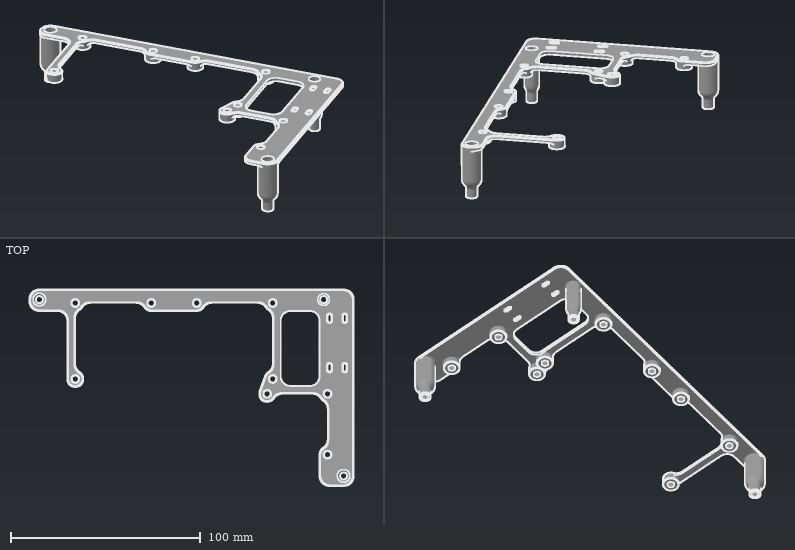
import cadquery as cq
import math

LENGTH = 171.3
WIDTH = 103.8
HEIGHT = 30.0
PLATE_THICKNESS = 2.0
EDGE_CHAMFER = 0.5
BLEND = 5.0

BOSS_RADIUS = 4.3
BOSS_DEPTH = 5.5
SCREW_DIAMETER = 3.6
SCREW_MOUTH = 4.3
X_LEFT, X_MID_LEFT, X_MID_RIGHT, X_STRUT, X_RIGHT = 24.3, 64.4, 88.4, 128.5, 157.5
X_OFFSET_BOSS = 125.5
Y_TOP, Y_ARM_END, Y_CROSS, Y_LOWEST = 96.6, 56.5, 48.6, 16.6
BOSSES = [
    (X_LEFT, Y_TOP),
    (X_MID_LEFT, Y_TOP),
    (X_MID_RIGHT, Y_TOP),
    (X_STRUT, Y_TOP),
    (X_LEFT, Y_ARM_END),
    (X_STRUT, Y_ARM_END),
    (X_OFFSET_BOSS, Y_CROSS),
    (X_RIGHT, Y_CROSS),
    (X_RIGHT, Y_LOWEST),
]

POST_DIAMETER = 10.8
POST_PIN = 6.2
POST_SOCKET = 6.7
POST_BARREL_END = 20.0
POST_PIN_START = 25.0
THIN_POST_DIAMETER = 8.0
THIN_POST_PIN = 5.8
THIN_POST_SOCKET = 6.2
THIN_POST_BARREL_END = 20.5
THIN_POST_PIN_START = 24.5
NECK_INFLECTION = 23.0
BORE_DIAMETER = 3.6
CORNER = POST_DIAMETER / 2
POSTS = [(CORNER, WIDTH - CORNER), (LENGTH - CORNER, CORNER)]
THIN_POST = (155.4, WIDTH - CORNER)

FOOT_FILLET = 1.0
TIP_CHAMFER = 0.3

SLOT_LENGTH = 5.3
SLOT_WIDTH = 2.7
SLOT_CHAMFER = 0.5
SLOTS = [(x, y) for x in (158.5, 166.5) for y in (88.5, 62.5)]


def outline():
    """Plate outline: straight edges run through boss centres and blend into the boss arcs."""
    reach = math.sqrt((BLEND + BOSS_RADIUS) ** 2 - BLEND**2)
    share = BOSS_RADIUS / (BLEND + BOSS_RADIUS)
    along = share * reach
    beside = share * BLEND

    bar_bottom = Y_TOP - BOSS_RADIUS
    arm_left = X_LEFT - BOSS_RADIUS
    pad_left = X_RIGHT - BOSS_RADIUS

    run = X_STRUT - X_OFFSET_BOSS
    rise = Y_ARM_END - Y_CROSS
    span = math.hypot(run, rise)
    shift_x = -BOSS_RADIUS * rise / span
    shift_y = BOSS_RADIUS * run / span

    return (
        cq.Workplane("XY")
        .moveTo(CORNER, WIDTH)
        .lineTo(LENGTH - CORNER, WIDTH)
        .tangentArcPoint((LENGTH, WIDTH - CORNER), relative=False)
        .lineTo(LENGTH, CORNER)
        .tangentArcPoint((LENGTH - CORNER, 0), relative=False)
        .lineTo(pad_left + CORNER, 0)
        .tangentArcPoint((pad_left, CORNER), relative=False)
        .lineTo(pad_left, Y_LOWEST)
        .tangentArcPoint((X_RIGHT - beside, Y_LOWEST + along), relative=False)
        .tangentArcPoint((X_RIGHT, Y_LOWEST + reach), relative=False)
        .lineTo(X_RIGHT, Y_CROSS - reach)
        .tangentArcPoint((X_RIGHT - beside, Y_CROSS - along), relative=False)
        .tangentArcPoint((X_RIGHT - along, Y_CROSS - beside), relative=False)
        .tangentArcPoint((X_RIGHT - reach, Y_CROSS), relative=False)
        .lineTo(X_OFFSET_BOSS + reach, Y_CROSS)
        .tangentArcPoint((X_OFFSET_BOSS + along, Y_CROSS - beside), relative=False)
        .tangentArcPoint((X_OFFSET_BOSS + shift_x, Y_CROSS + shift_y), relative=False)
        .lineTo(X_STRUT + shift_x, Y_ARM_END + shift_y)
        .tangentArcPoint((X_STRUT - beside, Y_ARM_END + along), relative=False)
        .tangentArcPoint((X_STRUT, Y_ARM_END + reach), relative=False)
        .lineTo(X_STRUT, Y_TOP - reach)
        .tangentArcPoint((X_STRUT - beside, Y_TOP - along), relative=False)
        .tangentArcPoint((X_STRUT - along, Y_TOP - beside), relative=False)
        .tangentArcPoint((X_STRUT - reach, Y_TOP), relative=False)
        .lineTo(X_MID_RIGHT + reach, Y_TOP)
        .tangentArcPoint((X_MID_RIGHT + along, Y_TOP - beside), relative=False)
        .tangentArcPoint((X_MID_RIGHT, bar_bottom), relative=False)
        .lineTo(X_MID_LEFT, bar_bottom)
        .tangentArcPoint((X_MID_LEFT - along, Y_TOP - beside), relative=False)
        .tangentArcPoint((X_MID_LEFT - reach, Y_TOP), relative=False)
        .lineTo(X_LEFT + reach, Y_TOP)
        .tangentArcPoint((X_LEFT + along, Y_TOP - beside), relative=False)
        .tangentArcPoint((X_LEFT + beside, Y_TOP - along), relative=False)
        .tangentArcPoint((X_LEFT, Y_TOP - reach), relative=False)
        .lineTo(X_LEFT, Y_ARM_END + reach)
        .tangentArcPoint((X_LEFT + beside, Y_ARM_END + along), relative=False)
        .tangentArcPoint((arm_left, Y_ARM_END), relative=False)
        .lineTo(arm_left, bar_bottom - BLEND)
        .tangentArcPoint((arm_left - BLEND, bar_bottom), relative=False)
        .lineTo(CORNER, bar_bottom)
        .tangentArcPoint((0, bar_bottom + CORNER), relative=False)
        .lineTo(0, WIDTH - CORNER)
        .tangentArcPoint((CORNER, WIDTH), relative=False)
        .close()
    )


def revolve_at(profile, place):
    """Turn a radius-height profile about a vertical axis at the given place."""
    turned = profile.close().revolve(360, (0, 0, 0), (0, 1, 0))
    return turned.translate((place[0], place[1], 0))


def flare(place, radius):
    """Fillet from the plate underside down to a boss or post, cut off at the plate outline."""
    sagitta = FOOT_FILLET * (1 - math.sqrt(0.5))
    foot = -PLATE_THICKNESS - FOOT_FILLET
    profile = (
        cq.Workplane("XZ")
        .moveTo(0, -PLATE_THICKNESS)
        .lineTo(radius + FOOT_FILLET, -PLATE_THICKNESS)
        .threePointArc((radius + sagitta, -PLATE_THICKNESS - sagitta), (radius, foot))
        .lineTo(0, foot)
    )
    return revolve_at(profile, place).intersect(outline().extrude(-HEIGHT))


def boss(place):
    profile = (
        cq.Workplane("XZ")
        .moveTo(0, -PLATE_THICKNESS)
        .lineTo(BOSS_RADIUS, -PLATE_THICKNESS)
        .lineTo(BOSS_RADIUS, TIP_CHAMFER - BOSS_DEPTH)
        .lineTo(BOSS_RADIUS - TIP_CHAMFER, -BOSS_DEPTH)
        .lineTo(0, -BOSS_DEPTH)
    )
    return revolve_at(profile, place)


def neck(profile, outer, inner, start, end):
    """Continue a profile down an S-curve of two tangent arcs."""
    share = (NECK_INFLECTION - start) / (end - start)
    middle = outer + (inner - outer) * share
    return (
        profile.lineTo(outer, -start)
        .tangentArcPoint((middle, -NECK_INFLECTION), relative=False)
        .tangentArcPoint((inner, -end), relative=False)
    )


def post(place, diameter, pin, barrel_end, pin_start):
    radius = diameter / 2
    profile = cq.Workplane("XZ").moveTo(0, -PLATE_THICKNESS).lineTo(radius, -PLATE_THICKNESS)
    profile = neck(profile, radius, pin / 2, barrel_end, pin_start)
    profile = (
        profile.lineTo(pin / 2, TIP_CHAMFER - HEIGHT)
        .lineTo(pin / 2 - TIP_CHAMFER, -HEIGHT)
        .lineTo(0, -HEIGHT)
    )
    return revolve_at(profile, place)


def socket(place, diameter, barrel_end, pin_start):
    """Stepped bore: a wide socket narrowing to a bore through the pin."""
    profile = cq.Workplane("XZ").moveTo(0, 0).lineTo(diameter / 2, 0)
    profile = neck(profile, diameter / 2, BORE_DIAMETER / 2, barrel_end, pin_start)
    return revolve_at(profile.lineTo(BORE_DIAMETER / 2, -HEIGHT).lineTo(0, -HEIGHT), place)


def screw_hole(place):
    """Through hole with a chamfered mouth."""
    mouth_depth = (SCREW_MOUTH - SCREW_DIAMETER) / 2
    profile = (
        cq.Workplane("XZ")
        .moveTo(0, 0)
        .lineTo(SCREW_MOUTH / 2, 0)
        .lineTo(SCREW_DIAMETER / 2, -mouth_depth)
        .lineTo(SCREW_DIAMETER / 2, -BOSS_DEPTH)
        .lineTo(0, -BOSS_DEPTH)
    )
    return revolve_at(profile, place)


plate = outline().extrude(-PLATE_THICKNESS).faces(">Z").edges().chamfer(EDGE_CHAMFER)

window_left = X_STRUT + BOSS_RADIUS
window_right = X_RIGHT - BOSS_RADIUS
window_bottom = Y_CROSS + BOSS_RADIUS
window_top = Y_TOP - BOSS_RADIUS
window = (
    cq.Workplane("XY")
    .center((window_left + window_right) / 2, (window_bottom + window_top) / 2)
    .rect(window_right - window_left, window_top - window_bottom)
    .extrude(-HEIGHT)
    .edges("|Z")
    .fillet(BLEND)
)

body = plate.union(flare(THIN_POST, THIN_POST_DIAMETER / 2))
for place in BOSSES:
    body = body.union(flare(place, BOSS_RADIUS))
for place in POSTS:
    body = body.union(flare(place, POST_DIAMETER / 2))
for place in BOSSES:
    body = body.union(boss(place))
for place in POSTS:
    body = body.union(post(place, POST_DIAMETER, POST_PIN, POST_BARREL_END, POST_PIN_START))
body = body.union(
    post(THIN_POST, THIN_POST_DIAMETER, THIN_POST_PIN, THIN_POST_BARREL_END, THIN_POST_PIN_START)
)
body = body.cut(window)

body = body.cut(socket(THIN_POST, THIN_POST_SOCKET, THIN_POST_BARREL_END, THIN_POST_PIN_START))
for place in POSTS:
    body = body.cut(socket(place, POST_SOCKET, POST_BARREL_END, POST_PIN_START))
for place in BOSSES:
    body = body.cut(screw_hole(place))

slots = cq.Workplane("XY").pushPoints(SLOTS).slot2D(
    SLOT_LENGTH - 2 * SLOT_CHAMFER, SLOT_WIDTH - 2 * SLOT_CHAMFER, 90
).extrude(-PLATE_THICKNESS)
mouths = cq.Workplane("XY").pushPoints(SLOTS).slot2D(SLOT_LENGTH, SLOT_WIDTH, 90).extrude(
    -SLOT_CHAMFER, taper=45
)
result = body.cut(slots).cut(mouths)